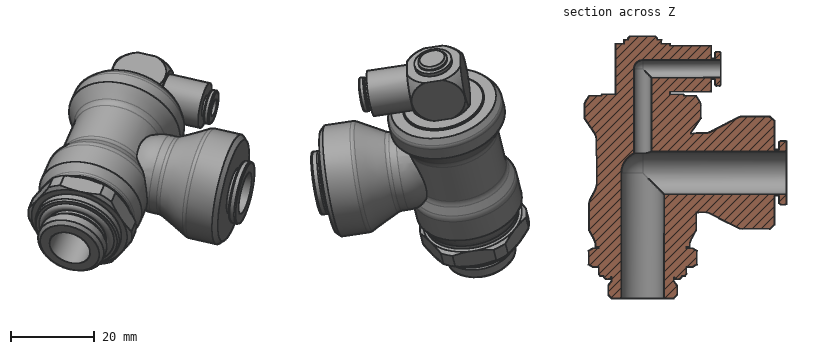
import cadquery as cq
import math


total_length = 62.9
total_width = 48.5
head_diameter = 28.0

thread_radius = 8.3
thread_chamfer = 0.9
thread_shoulder_y = 3.15
relief_radius = 7.5
relief_y = 4.2
seal_tube_radius = 1.0
seal_ring_radius = 8.4
seal_y = 5.6
collar_radius = 10.55
collar_face_radius = 10.2
collar_face_y = 5.4
collar_chamfer_y = 5.9

nut_bottom_y = 7.55
nut_top_y = 12.1
nut_across_flats = 24.0
nut_corner_radius = 13.0
nut_chamfer = 0.55

retainer_bottom_y = 12.4
retainer_top_y = 13.3
retainer_radius = 11.3
lip_y = 13.7
lip_radius = 11.5
base_cone_y = 14.2
base_cone_radius = 11.7
base_radius = 12.9
base_bottom_y = 16.4
base_top_y = 23.2
base_blend = 1.5
waist_radius = 11.15
waist_bottom_y = 26.55
waist_top_y = 39.0
waist_blend = 1.7
head_radius = head_diameter / 2
head_bottom_y = 43.2
head_chamfer_y = 46.8
head_blend = 0.95
head_top_y = 48.6
head_top_radius = 12.85
washer_radius = 9.95
washer_thickness = 0.4
washer_chamfer = 0.25

block_half_width = 6.55
block_bottom_y = head_top_y + washer_thickness
block_top_y = 61.1
block_face_circle = 6.4
screw_flange_radius = 4.5
screw_flange_y = 62.0
screw_tip_radius = 3.5
screw_tip_y = 62.4
screw_top_radius = 3.0

elbow_y = (block_bottom_y + block_top_y) / 2
elbow_radius = 5.55
elbow_end_x = 16.5
elbow_collar_radius = 2.6
elbow_flange_x = 17.3
elbow_flange_radius = 4.15
elbow_tip_x = 18.75
elbow_flange_bevel = 0.3

port_y = 30.1
neck_radius = 9.55
neck_start_x = 13.35
neck_blend_x = 15.65
neck_blend = 0.95
port_radius = 13.5
port_blend_x = 23.35
port_blend = 0.95
port_chamfer_x = 30.45
port_end_x = 31.6
port_end_radius = 12.45
port_collar_radius = 5.6
port_flange_x = 32.65
port_flange_radius = 7.7
port_tip_x = total_width - head_radius
port_flange_bevel = 0.4
port_tip_taper = 0.1

main_bore_radius = 5.1
elbow_bore_radius = 2.1


def blended_profile(points):
    """Closed outline from (along, radius, blend) points.

    A blend above zero rounds that corner with a tangent arc. Its value is the length
    the arc occupies along the axis.
    """
    outline = cq.Workplane("XY").moveTo(points[0][0], 0)
    for i, (along, radius, blend) in enumerate(points):
        if blend == 0:
            outline = outline.lineTo(along, radius)
            continue
        before, after = points[i - 1], points[i + 1]
        to_before = (before[0] - along, before[1] - radius)
        to_after = (after[0] - along, after[1] - radius)
        before_length = math.hypot(*to_before)
        after_length = math.hypot(*to_after)
        unit_before = (to_before[0] / before_length, to_before[1] / before_length)
        unit_after = (to_after[0] / after_length, to_after[1] / after_length)
        setback = blend / (unit_after[0] - unit_before[0])
        start = (along + setback * unit_before[0], radius + setback * unit_before[1])
        end = (along + setback * unit_after[0], radius + setback * unit_after[1])
        outline = outline.lineTo(*start).tangentArcPoint(end, relative=False)
    return outline.lineTo(points[-1][0], 0).close()


def turned_along_x(points, axis_y=0.0):
    """Solid of revolution about a line parallel to X at height axis_y."""
    solid = blended_profile(points).revolve(360, (0, 0, 0), (1, 0, 0))
    return solid.translate((0, axis_y, 0))


def turned_along_y(points):
    """Solid of revolution about the Y axis."""
    return turned_along_x(points).rotate((0, 0, 0), (0, 0, 1), 90)


def sharp(*points):
    """Give every (along, radius) point a blend of zero."""
    return [(along, radius, 0) for along, radius in points]


def threaded_end():
    stem = turned_along_y(sharp(
        (0, thread_radius - thread_chamfer),
        (thread_chamfer, thread_radius),
        (thread_shoulder_y, thread_radius),
        (relief_y, relief_radius),
        (collar_face_y, relief_radius),
        (collar_face_y, collar_face_radius),
        (collar_chamfer_y, collar_radius),
        (retainer_bottom_y, collar_radius),
        (retainer_bottom_y, retainer_radius),
        (retainer_top_y, retainer_radius),
    ))
    seal = (
        cq.Workplane("XY")
        .center(seal_ring_radius, seal_y)
        .circle(seal_tube_radius)
        .revolve(360, (-seal_ring_radius, 0, 0), (-seal_ring_radius, 1, 0))
    )
    return stem.union(seal)


def hex_nut():
    across_corners = nut_across_flats / math.cos(math.pi / 6)
    height = nut_top_y - nut_bottom_y
    prism = (
        cq.Workplane("XZ", origin=(0, nut_bottom_y, 0))
        .polygon(6, across_corners)
        .extrude(-height)
    )
    face_radius = nut_across_flats / 2
    envelope = turned_along_y(sharp(
        (nut_bottom_y, face_radius),
        (nut_bottom_y + nut_chamfer, nut_corner_radius),
        (nut_top_y - nut_chamfer, nut_corner_radius),
        (nut_top_y, face_radius),
    ))
    return prism.intersect(envelope)


def swivel_body():
    body = turned_along_y([
        (retainer_top_y, retainer_radius, 0),
        (lip_y, lip_radius, 0),
        (base_cone_y, base_cone_radius, 0),
        (base_bottom_y, base_radius, 0),
        (base_top_y, base_radius, base_blend),
        (waist_bottom_y, waist_radius, base_blend),
        (waist_top_y, waist_radius, waist_blend),
        (head_bottom_y, head_radius, 0),
        (head_chamfer_y, head_radius, head_blend),
        (head_top_y, head_top_radius, 0),
    ])
    washer = turned_along_y(sharp(
        (head_top_y, washer_radius),
        (block_bottom_y - washer_chamfer, washer_radius),
        (block_bottom_y, washer_radius - washer_chamfer),
    ))
    return body.union(washer)


def banjo_block():
    width = 2 * block_half_width
    cube = (
        cq.Workplane("XY")
        .box(width, block_top_y - block_bottom_y, width)
        .translate((0, elbow_y, 0))
    )
    corner_sphere = cq.Workplane("XY").sphere(math.hypot(block_half_width, block_face_circle))
    screw = turned_along_y(sharp(
        (elbow_y, screw_flange_radius),
        (screw_flange_y, screw_flange_radius),
        (screw_flange_y, screw_tip_radius),
        (screw_tip_y, screw_tip_radius),
        (total_length, screw_top_radius),
    ))
    return cube.intersect(corner_sphere.translate((0, elbow_y, 0))).union(screw)


def elbow_port():
    return turned_along_x(sharp(
        (0, elbow_radius),
        (elbow_end_x, elbow_radius),
        (elbow_end_x, elbow_collar_radius),
        (elbow_flange_x, elbow_collar_radius),
        (elbow_flange_x, elbow_flange_radius - elbow_flange_bevel),
        (elbow_flange_x + elbow_flange_bevel, elbow_flange_radius),
        (elbow_tip_x - elbow_flange_bevel, elbow_flange_radius),
        (elbow_tip_x, elbow_flange_radius - elbow_flange_bevel),
    ), elbow_y)


def side_port():
    port = turned_along_x([
        (neck_start_x, neck_radius, 0),
        (neck_blend_x, neck_radius, neck_blend),
        (port_blend_x, port_radius, port_blend),
        (port_chamfer_x, port_radius, 0),
        (port_end_x, port_end_radius, 0),
        (port_end_x, port_collar_radius, 0),
        (port_flange_x, port_collar_radius, 0),
        (port_flange_x, port_flange_radius - port_flange_bevel, 0),
        (port_flange_x + port_flange_bevel, port_flange_radius, 0),
        (port_tip_x - port_flange_bevel, port_flange_radius, 0),
        (port_tip_x, port_flange_radius - port_tip_taper, 0),
    ], port_y)
    dome = cq.Workplane("XY").sphere(neck_radius).translate((neck_start_x, port_y, 0))
    return port.union(dome)


def turning_passage(radius, start_y, turn_y, end_x):
    """Bore up the Y axis and the ball-ended cross bore it meets, which leaves toward +X."""
    riser = turned_along_y(sharp((start_y, radius), (turn_y, radius)))
    cross_bore = (
        cq.Workplane("XY")
        .moveTo(-radius, 0)
        .radiusArc((0, radius), radius)
        .lineTo(end_x, radius)
        .lineTo(end_x, 0)
        .close()
        .revolve(360, (0, 0, 0), (1, 0, 0))
        .translate((0, turn_y, 0))
    )
    return riser, cross_bore


result = (
    threaded_end()
    .union(swivel_body())
    .union(hex_nut())
    .union(side_port())
    .union(banjo_block())
    .union(elbow_port())
)
passages = (
    *turning_passage(main_bore_radius, 0, port_y, port_tip_x),
    *turning_passage(elbow_bore_radius, port_y, elbow_y, elbow_tip_x),
)
for passage in passages:
    result = result.cut(passage)